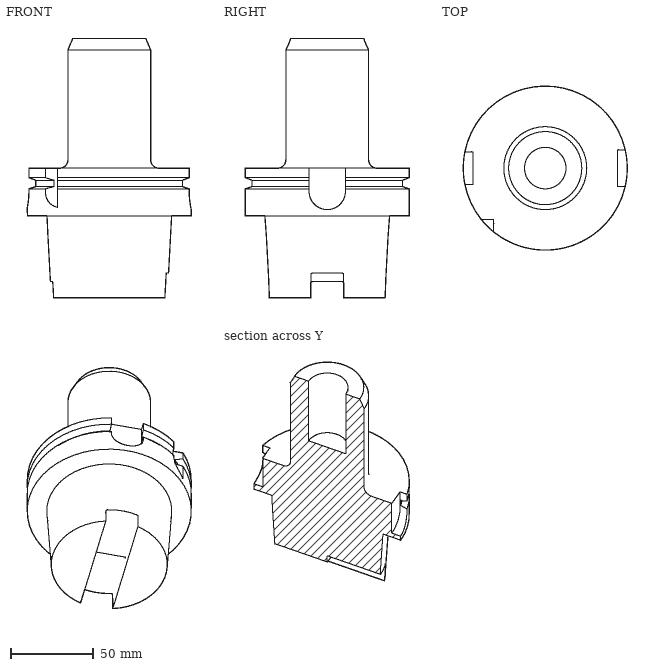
import cadquery as cq

total_height = 158.0
flange_bottom = 49.9
flange_top = 79.0

nose_radius = 25.3
tip_radius = 22.3
tip_height = 7.0
root_fillet = 5.0
bore_radius = 12.6
bore_depth = 50.5

flange_diameter = 100.0
flange_radius = flange_diameter / 2
groove_floor_radius = 46.0
groove_upper_edge = 73.1
groove_floor_top = 71.5
groove_floor_bottom = 67.8
groove_lower_edge = 66.3

shank_top_radius = 38.0
shank_bottom_radius = 35.4

keyway_floor = 44.0
keyway_arc_height = 64.8
left_keyway_radius = 10.0
right_keyway_radius = 11.0
notch_corner = 31.5
notch_radius = left_keyway_radius

drive_slot_width = 20.0
left_slot_depth = 9.8
right_slot_depth = 15.0
drive_slot_fillet = 1.0


def make_body():
    """Revolve the outer profile of nose, flange and shank."""
    fillet_mid_offset = root_fillet * (1 - 0.5 ** 0.5)
    profile = (
        cq.Workplane("XZ")
        .lineTo(shank_bottom_radius, 0)
        .lineTo(shank_top_radius, flange_bottom)
        .lineTo(flange_radius, flange_bottom)
        .lineTo(flange_radius, groove_lower_edge)
        .lineTo(groove_floor_radius, groove_floor_bottom)
        .lineTo(groove_floor_radius, groove_floor_top)
        .lineTo(flange_radius, groove_upper_edge)
        .lineTo(flange_radius, flange_top)
        .lineTo(nose_radius + root_fillet, flange_top)
        .threePointArc(
            (nose_radius + fillet_mid_offset, flange_top + fillet_mid_offset),
            (nose_radius, flange_top + root_fillet),
        )
        .lineTo(nose_radius, total_height - tip_height)
        .lineTo(tip_radius, total_height)
        .lineTo(0, total_height)
        .close()
    )
    return profile.revolve(360, (0, 0, 0), (0, 1, 0))


def make_bore():
    bore_floor = cq.Workplane("XY").workplane(offset=total_height - bore_depth)
    return bore_floor.circle(bore_radius).extrude(bore_depth)


def make_keyway(floor_distance, center_y, radius, side):
    """Cutter open at the flange top and rim; side is -1 for -X and +1 for +X."""
    return (
        cq.Workplane("YZ", origin=(side * floor_distance, 0, 0))
        .moveTo(center_y - radius, flange_top)
        .lineTo(center_y - radius, keyway_arc_height)
        .threePointArc(
            (center_y, keyway_arc_height - radius),
            (center_y + radius, keyway_arc_height),
        )
        .lineTo(center_y + radius, flange_top)
        .close()
        .extrude(side * flange_radius)
    )


def make_drive_slot(depth, side):
    """Slot running from the axis out through one side of the shank."""
    return (
        cq.Workplane("XY")
        .box(flange_radius, drive_slot_width, depth, centered=(True, True, False))
        .edges("|X and >Z")
        .fillet(drive_slot_fillet)
        .translate((side * flange_radius / 2, 0, 0))
    )


result = (
    make_body()
    .cut(make_bore())
    .cut(make_keyway(keyway_floor, 0, left_keyway_radius, -1))
    .cut(make_keyway(keyway_floor, 0, right_keyway_radius, 1))
    .cut(make_keyway(notch_corner, -notch_corner - notch_radius, notch_radius, -1))
    .cut(make_drive_slot(left_slot_depth, -1))
    .cut(make_drive_slot(right_slot_depth, 1))
)